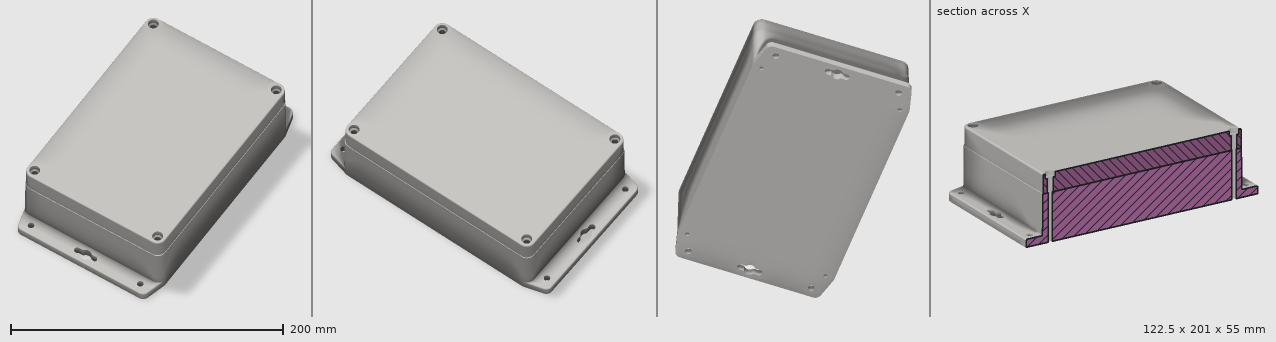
import cadquery as cq
import math

total_width = 122.5
total_length = 201.0
total_height = 55.0

base_foot_length = 172.7
base_height = 39.5
draft_angle = 0.7
corner_radius = 6.6
seam_chamfer = 0.3

top_round = 1.5

flange_height = 6.6
flange_slant = 15.0
flange_corner_radius = 4.8
flange_round = 1.2
foot_round = 0.5
mount_hole_x = 48.0
mount_hole_y = 93.3
mount_hole_diameter = 4.8
keyhole_length = 19.3
keyhole_slot_width = 4.8
keyhole_head_diameter = 8.6

screw_x = 54.0
screw_y = 79.2
screw_head_diameter = 8.0
screw_head_depth = 4.0
screw_clearance_diameter = 4.6
screw_pilot_diameter = 3.2

joint_inset = base_height * math.tan(math.radians(draft_angle)) + seam_chamfer
lid_width = total_width - 2 * joint_inset
lid_length = base_foot_length - 2 * joint_inset

slant = math.radians(flange_slant)
flange_root_x = total_width / 2 - corner_radius * (1 - math.cos(slant))
flange_root_y = base_foot_length / 2 - corner_radius * (1 - math.sin(slant))
flange_end_y = total_length / 2
flange_end_x = flange_root_x - (flange_end_y - flange_root_y) * math.tan(slant)

screw_points = [(sx * screw_x, sy * screw_y) for sx in (-1, 1) for sy in (-1, 1)]
mount_points = [(sx * mount_hole_x, sy * mount_hole_y) for sx in (-1, 1) for sy in (-1, 1)]
keyhole_points = [(0, -mount_hole_y), (0, mount_hole_y)]


def rounded_rectangle(width, length, radius):
    return cq.Sketch().rect(width, length).vertices().fillet(radius)


def through_cylinders(points, diameter, height):
    return cq.Workplane("XY").pushPoints(points).circle(diameter / 2).extrude(height)


def make_walls():
    profile = rounded_rectangle(total_width, base_foot_length, corner_radius)
    walls = cq.Workplane("XY").placeSketch(profile).extrude(base_height, taper=draft_angle)
    return walls.faces(">Z").edges().chamfer(seam_chamfer)


def make_flange_plate():
    """Plate through the foot of the box whose two ends are the tapered mounting flanges."""
    outline = [
        (flange_root_x, -flange_root_y),
        (flange_root_x, flange_root_y),
        (flange_end_x, flange_end_y),
        (-flange_end_x, flange_end_y),
        (-flange_root_x, flange_root_y),
        (-flange_root_x, -flange_root_y),
        (-flange_end_x, -flange_end_y),
        (flange_end_x, -flange_end_y),
    ]
    profile = cq.Sketch().polygon(outline + outline[:1])
    profile = profile.vertices(">Y or <Y").fillet(flange_corner_radius)
    plate = cq.Workplane("XY").placeSketch(profile).extrude(flange_height, taper=draft_angle)
    return plate.faces(">Z").edges().fillet(flange_round)


def make_foot_bead(walls, plate):
    """Concave round where the walls rise from the flange tops, kept only over the flat tops."""
    floor = cq.Workplane("XY").rect(2 * total_width, 2 * total_length).extrude(flange_height)
    foot = cq.selectors.BoxSelector(
        (-total_width / 2, -base_foot_length / 2, flange_height - foot_round),
        (total_width / 2, base_foot_length / 2, flange_height + foot_round),
    )
    rounded = floor.union(walls).edges(foot).fillet(foot_round)
    flat_top = plate.faces(">Z").wires().toPending().extrude(foot_round, combine=False)
    return rounded.intersect(flat_top)


def make_base():
    walls = make_walls()
    plate = make_flange_plate()
    base = walls.union(plate).union(make_foot_bead(walls, plate))

    slots = (
        cq.Workplane("XY").pushPoints(keyhole_points)
        .slot2D(keyhole_length, keyhole_slot_width).extrude(flange_height)
    )
    base = base.cut(slots)
    base = base.cut(through_cylinders(keyhole_points, keyhole_head_diameter, flange_height))
    base = base.cut(through_cylinders(mount_points, mount_hole_diameter, flange_height))
    return base.cut(through_cylinders(screw_points, screw_pilot_diameter, base_height))


def make_lid():
    profile = rounded_rectangle(lid_width, lid_length, corner_radius)
    lid = cq.Workplane("XY").workplane(offset=base_height).placeSketch(profile)
    lid = lid.extrude(total_height - base_height)
    lid = lid.faces(">Z").edges().fillet(top_round)
    return (
        lid.faces(">Z").workplane(origin=(0, 0, total_height)).pushPoints(screw_points)
        .cboreHole(screw_clearance_diameter, screw_head_diameter, screw_head_depth)
    )


base = make_base()
lid = make_lid()
result = cq.Compound.makeCompound([base.solids().val(), lid.solids().val()])